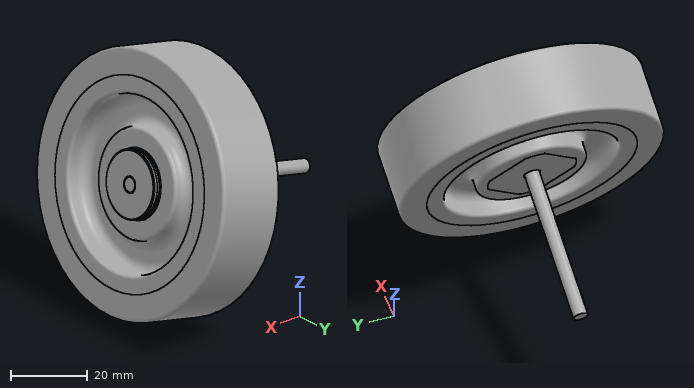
import cadquery as cq
import math

ROLL = 45.0
AXIS_RISE = 13.5

WIDTH = 20.0
TIRE_DIAMETER = 73.0
TIRE_ROUND = 1.0
WHEEL_RADIUS = 28.95

POCKET_RADIUS = 24.0
POCKET_DEPTH = 6.4
POCKET_FILLET = 3.0
POCKET_EDGE_ROUND = 1.0
BOSS_RADIUS = 15.2
FAR_BOSS_DROP = 2.3

HUB_SQUARE = 20.6
HUB_CORNER_RADIUS = 12.2
HUB_SHOULDER = 2.25
HUB_END_RADIUS = 9.4
HUB_END_CHAMFER = 0.3
HUB_BORE_RADIUS = 2.25
RING_GROOVE_RADIUS = 8.95
RING_GROOVE_WIDTH = 1.1
HUB_HOLE_RADIUS = 9.6

SHAFT_RADIUS = 2.0
SHAFT_LENGTH = 62.3

NEAR_FACE = -WIDTH / 2
FAR_FACE = WIDTH / 2
FAR_BOSS_FACE = FAR_FACE - FAR_BOSS_DROP
HUB_SQUARE_END = FAR_BOSS_FACE - HUB_SHOULDER


def cylinder(radius, start, end):
    """Solid cylinder about Z between two heights."""
    return cq.Workplane("XY").workplane(offset=start).circle(radius).extrude(end - start)


def arc_middle(center, radius, toward_r, toward_z):
    """Middle of a quarter arc whose ends lie along the given axis directions from its centre."""
    reach = radius * math.sqrt(0.5)
    return (center[0] + toward_r * reach, center[1] + toward_z * reach)


def make_tire():
    tire = cylinder(TIRE_DIAMETER / 2, NEAR_FACE, FAR_FACE).edges().fillet(TIRE_ROUND)
    return tire.cut(cylinder(WHEEL_RADIUS, NEAR_FACE, FAR_FACE))


def pocket_cutter(boss_drop):
    """Revolved cutter for the pocket in the far face, with the boss top boss_drop below that face."""
    boss_top = FAR_FACE - boss_drop
    floor = FAR_FACE - POCKET_DEPTH
    above = FAR_FACE + POCKET_EDGE_ROUND
    boss_edge = (BOSS_RADIUS - POCKET_EDGE_ROUND, boss_top - POCKET_EDGE_ROUND)
    boss_foot = (BOSS_RADIUS + POCKET_FILLET, floor + POCKET_FILLET)
    wall_foot = (POCKET_RADIUS - POCKET_FILLET, floor + POCKET_FILLET)
    rim = (POCKET_RADIUS + POCKET_EDGE_ROUND, FAR_FACE - POCKET_EDGE_ROUND)
    profile = (
        cq.Workplane("XZ")
        .moveTo(0, boss_top)
        .lineTo(boss_edge[0], boss_top)
        .threePointArc(arc_middle(boss_edge, POCKET_EDGE_ROUND, 1, 1), (BOSS_RADIUS, boss_edge[1]))
        .lineTo(BOSS_RADIUS, boss_foot[1])
        .threePointArc(arc_middle(boss_foot, POCKET_FILLET, -1, -1), (boss_foot[0], floor))
        .lineTo(wall_foot[0], floor)
        .threePointArc(arc_middle(wall_foot, POCKET_FILLET, 1, -1), (POCKET_RADIUS, wall_foot[1]))
        .lineTo(POCKET_RADIUS, rim[1])
        .threePointArc(arc_middle(rim, POCKET_EDGE_ROUND, -1, 1), (rim[0], FAR_FACE))
        .lineTo(rim[0], above)
        .lineTo(0, above)
        .close()
    )
    return profile.revolve(360, (0, 0), (0, 1))


def hub_prism():
    """Square part of the hub, which fits its seat in the wheel exactly."""
    prism_length = HUB_SQUARE_END - NEAR_FACE
    prism = cq.Workplane("XY").workplane(offset=NEAR_FACE).rect(HUB_SQUARE, HUB_SQUARE).extrude(prism_length)
    return prism.intersect(cylinder(HUB_CORNER_RADIUS, NEAR_FACE, HUB_SQUARE_END))


def make_wheel():
    wheel = cylinder(WHEEL_RADIUS, NEAR_FACE, FAR_FACE)
    far_pocket = pocket_cutter(FAR_BOSS_DROP)
    near_pocket = pocket_cutter(0).mirror("XY")
    hub_hole = cylinder(HUB_HOLE_RADIUS, NEAR_FACE, FAR_FACE)
    return wheel.cut(far_pocket).cut(near_pocket).cut(hub_prism()).cut(hub_hole)


def make_hub():
    groove_end = FAR_BOSS_FACE + RING_GROOVE_WIDTH
    shoulder = cylinder(HUB_END_RADIUS, HUB_SQUARE_END, FAR_BOSS_FACE)
    groove_floor = cylinder(RING_GROOVE_RADIUS, FAR_BOSS_FACE, groove_end)
    end = cylinder(HUB_END_RADIUS, groove_end, FAR_FACE).faces(">Z").edges().chamfer(HUB_END_CHAMFER)
    bore = cylinder(HUB_BORE_RADIUS, NEAR_FACE, FAR_FACE)
    return hub_prism().union(shoulder).union(groove_floor).union(end).cut(bore)


def make_shaft():
    """Shaft ending flush with the far face."""
    return cylinder(SHAFT_RADIUS, FAR_FACE - SHAFT_LENGTH, FAR_FACE)


def place(body):
    """Roll and tilt a body from the Z axis to its final attitude."""
    rolled = body.rotate((0, 0, 0), (0, 0, 1), ROLL)
    return rolled.rotate((0, 0, 0), (0, 1, 0), 90 - AXIS_RISE)


tire = place(make_tire())
wheel = place(make_wheel())
hub = place(make_hub())
shaft = place(make_shaft())

result = cq.Compound.makeCompound([tire.val(), wheel.val(), hub.val(), shaft.val()])